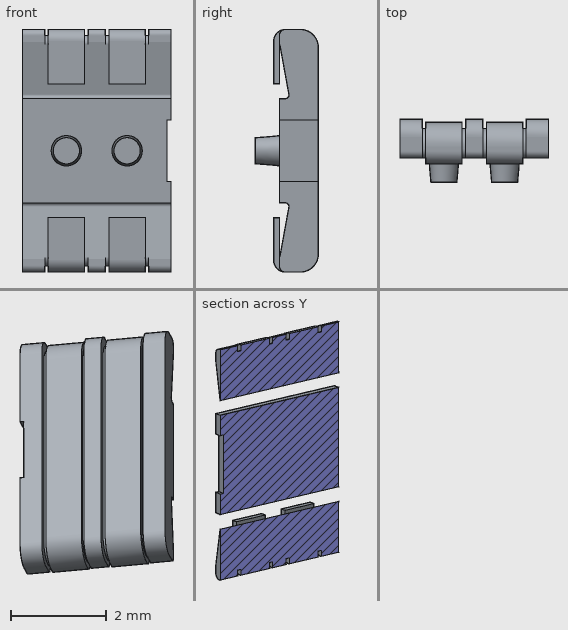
import cadquery as cq

width = 3.11
height = 5.08
depth = 0.82
back_radius = 0.38
front_radius = 0.13

contact_pitch = 1.27
contact_width = 0.76
contact_thickness = 0.125
contact_bend_radius = 0.255
contact_tip = 1.145
channel_width = 0.905

core_front = 0.005
core_back = 0.625
core_height = height - 2 * contact_thickness
core_back_radius = 0.38
core_front_radius = 0.18

undercut_start = 0.275
undercut_end = 1.45
undercut_depth = 0.215
undercut_radius = 0.07

peg_base_diameter = 0.635
peg_tip_diameter = 0.55
peg_length = 0.51
notch_depth = 0.08
notch_height = 1.28

contact_centres = (-contact_pitch / 2, contact_pitch / 2)


def block(x_range, y_range, z_range):
    """Box between the given limits."""
    (x0, x1), (y0, y1), (z0, z1) = x_range, y_range, z_range
    return cq.Workplane("XY").box(x1 - x0, y1 - y0, z1 - z0, centered=False).translate((x0, y0, z0))


def rounded_bar(x_range, y_range, bar_height, front_r, back_r):
    """Bar along X, centred on Z, with rounded front and back edges."""
    bar = block(x_range, y_range, (-bar_height / 2, bar_height / 2))
    return bar.edges("|X and <Y").fillet(front_r).edges("|X and >Y").fillet(back_r)


def make_core(x_range):
    return rounded_bar(x_range, (core_front, core_back), core_height, core_front_radius, core_back_radius)


def make_body():
    """Core with the full-depth blocks beside the channels and the flat front deck."""
    body_x = (-width / 2, width / 2)
    body = make_core(body_x)
    channel_edges = [x + side * channel_width / 2 for x in contact_centres for side in (-1, 1)]
    limits = [body_x[0], *channel_edges, body_x[1]]
    for x_range in zip(limits[::2], limits[1::2]):
        body = body.union(rounded_bar(x_range, (0, depth), height, front_radius, back_radius))
    deck_top = height / 2 - undercut_end
    return body.union(block(body_x, (0, core_back), (-deck_top, deck_top)))


def make_undercut():
    """Wedge at the upper end, deepest against the deck, with a rounded inner corner."""
    start_z = height / 2 - undercut_start
    end_z = height / 2 - undercut_end
    wedge = (
        cq.Workplane("YZ")
        .polyline([(0, start_z), (undercut_depth, end_z), (0, end_z)])
        .close()
        .extrude(width / 2, both=True)
    )
    return wedge.edges("|X and >Y").fillet(undercut_radius)


def make_contact(x):
    """Strip wrapped around the core, open at the front between its two leg tips."""
    x_range = (x - contact_width / 2, x + contact_width / 2)
    outer_front = core_front - contact_thickness
    outer_back = core_back + contact_thickness
    outer_back_radius = core_back_radius + contact_thickness
    wrap = rounded_bar(x_range, (outer_front, outer_back), height, contact_bend_radius, outer_back_radius)
    tip_z = height / 2 - contact_tip
    opening = block(x_range, (outer_front, core_front), (-tip_z, tip_z))
    return wrap.cut(make_core(x_range)).cut(opening)


def make_peg(x):
    """Tapered peg standing on the front face of the deck."""
    return (
        cq.Workplane("XZ", origin=(x, 0, 0))
        .circle(peg_base_diameter / 2)
        .workplane(offset=peg_length)
        .circle(peg_tip_diameter / 2)
        .loft()
    )


undercut = make_undercut()
notch = block(
    (width / 2 - notch_depth, width / 2),
    (0, depth),
    (-notch_height / 2, notch_height / 2),
)

result = make_body().cut(undercut).cut(undercut.mirror("XY")).cut(notch)
for centre in contact_centres:
    result = result.union(make_contact(centre)).union(make_peg(centre))